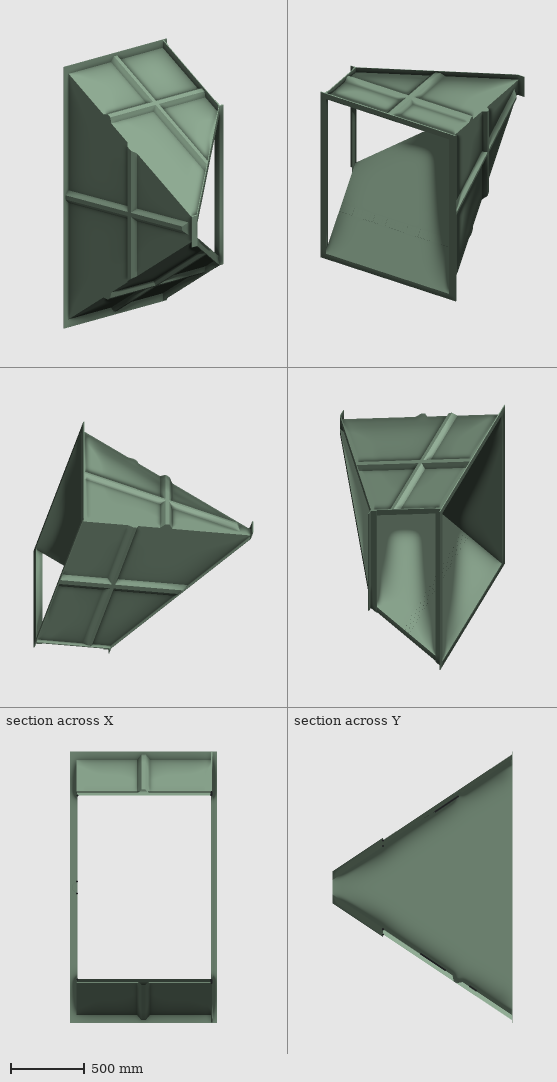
import cadquery as cq
import math

LENGTH = 1235.0
DEPTH = 1005.0
HEIGHT = 1860.0

SHEET = 6.0
FLANGE = 50.0
TIP_HEIGHT = 218.0
BACK_LENGTH = 549.0

FRONT_INNER = FLANGE
FRONT_OUTER = FRONT_INNER - SHEET
BACK_EDGE = 963.0

RIB_HEIGHT = 30.0
RIB_CREST = 30.0
RIB_SHEET = 2.6
RIB_FLANK = math.radians(45)
PANEL_RIB_START = 377.0
FRONT_RIB_END = 1155.0

PAD_COUNT = 30
PAD_GAP = 3.0
PAD_RISE = 1.0
PAD_START = 253.0
PAD_END = 300.0

SLOPE = (HEIGHT - TIP_HEIGHT) / 2 / LENGTH
ANGLE = math.atan(SLOPE)
MOUTH_INNER = HEIGHT / 2 - FLANGE / math.cos(ANGLE)
MOUTH_OUTER = MOUTH_INNER + SHEET / math.cos(ANGLE)


def tapered_block(half_mouth, y_start, y_end):
    """Block between the two slopes, half_mouth high at the mouth on either side of the middle."""
    half_tip = half_mouth - SLOPE * LENGTH
    outline = [(0, -half_mouth), (LENGTH, -half_tip), (LENGTH, half_tip), (0, half_mouth)]
    return cq.Workplane("XZ", origin=(0, y_start, 0)).polyline(outline).close().extrude(y_start - y_end)


def plan_block(points):
    """Upright block of full height over a plan outline."""
    return cq.Workplane("XY").polyline(points).close().extrude(HEIGHT / 2, both=True)


PLAN = plan_block([(0, 0), (LENGTH, 0), (LENGTH, FRONT_INNER), (BACK_LENGTH, BACK_EDGE), (0, BACK_EDGE)])


def slab(x_start, x_end, y_start, y_end):
    """Upright rectangular block of full height."""
    return plan_block([(x_start, y_start), (x_end, y_start), (x_end, y_end), (x_start, y_end)])


def panels():
    """Front panel and the two sloped panels, open at the mouth, the back and the oblique side."""
    shell = tapered_block(MOUTH_OUTER, FRONT_OUTER, BACK_EDGE)
    shell = shell.cut(tapered_block(MOUTH_INNER, FRONT_INNER, DEPTH))
    return shell.intersect(PLAN)


def mouth_flange():
    """Flat rectangular frame around the mouth."""
    opening = cq.Workplane("XY").box(LENGTH, BACK_EDGE - FRONT_INNER, 2 * MOUTH_INNER)
    opening = opening.translate((0, (BACK_EDGE + FRONT_INNER) / 2, 0))
    return slab(0, SHEET, 0, DEPTH).cut(opening)


def oblique_flange():
    """Frame around the oblique opening, bent square to the mouth at both ends."""
    edge = [(LENGTH, 0), (LENGTH, FRONT_INNER), (BACK_LENGTH, BACK_EDGE), (BACK_LENGTH, DEPTH)]
    inset = [(x - SHEET, y) for x, y in reversed(edge)]
    frame = plan_block(edge + inset).intersect(tapered_block(HEIGHT / 2, 0, DEPTH))
    return frame.cut(tapered_block(MOUTH_INNER, FRONT_INNER, BACK_EDGE))


def back_frame():
    """Sloped bars along the back edges and the two posts behind them."""
    bars_end = BACK_EDGE + SHEET
    posts_end = bars_end + SHEET
    bars = tapered_block(HEIGHT / 2, BACK_EDGE, bars_end)
    bars = bars.cut(tapered_block(MOUTH_INNER, BACK_EDGE, bars_end))
    bars = bars.intersect(slab(0, BACK_LENGTH, BACK_EDGE, bars_end))
    posts = slab(0, FLANGE, bars_end, posts_end)
    posts = posts.union(slab(BACK_LENGTH - FLANGE, BACK_LENGTH, bars_end, posts_end))
    return bars.union(posts.intersect(tapered_block(HEIGHT / 2, bars_end, posts_end)))


def channel(origin, run, outward, length, inset):
    """Trapezoid bar from origin along run, standing outward; inset shrinks it to its own hollow."""
    side = cq.Vector(*outward).cross(cq.Vector(*run))
    flank = inset * math.tan(RIB_FLANK / 2)
    top = RIB_HEIGHT - inset
    half_crest = RIB_CREST / 2 - flank
    half_base = half_crest + top / math.tan(RIB_FLANK)
    outline = [(-half_base, 0), (half_base, 0), (half_crest, top), (-half_crest, top)]
    return cq.Workplane(cq.Plane(origin, side, cq.Vector(*run))).polyline(outline).close().extrude(length)


def front_ribs():
    """Crossed ribs on the front panel; the lengthwise one ends in a 45 degree slope."""
    outward = (0, -1, 0)

    def cross(inset):
        crest = FRONT_OUTER - RIB_HEIGHT
        end = FRONT_RIB_END - inset
        lengthwise = channel((0, FRONT_OUTER, 0), (1, 0, 0), outward, LENGTH, inset)
        lengthwise = lengthwise.intersect(plan_block(
            [(0, FRONT_OUTER), (end, FRONT_OUTER), (end - RIB_HEIGHT, crest), (0, crest)]))
        upright = channel((LENGTH / 2, FRONT_OUTER, -HEIGHT / 2), (0, 0, 1), outward, HEIGHT, inset)
        upright = upright.intersect(tapered_block(MOUTH_OUTER - inset, crest, FRONT_OUTER))
        return lengthwise.union(upright)

    return cross(0).cut(cross(RIB_SHEET))


def panel_ribs():
    """Crossed ribs on the upper sloped panel."""
    along = (math.cos(ANGLE), 0, -math.sin(ANGLE))
    outward = (math.sin(ANGLE), 0, math.cos(ANGLE))
    ahead = (-RIB_HEIGHT, DEPTH / 2, MOUTH_OUTER + SLOPE * RIB_HEIGHT)

    def cross(inset):
        lengthwise = channel(ahead, along, outward, LENGTH, inset)
        start = (PANEL_RIB_START, FRONT_OUTER + inset, MOUTH_OUTER - SLOPE * PANEL_RIB_START)
        crosswise = channel(start, (0, 1, 0), outward, BACK_EDGE - FRONT_OUTER - 2 * inset, inset)
        return lengthwise.union(crosswise)

    return cross(0).cut(cross(RIB_SHEET)).intersect(PLAN)


def pad_row():
    """Row of shallow pads across the inside of the lower panel."""
    pitch = (BACK_EDGE - FRONT_INNER) / PAD_COUNT
    rise = PAD_RISE / math.cos(ANGLE)
    floor = [(x, SLOPE * x - MOUTH_INNER) for x in (PAD_START, PAD_END)]
    outline = [(x, z - SHEET / 2) for x, z in floor] + [(x, z + rise) for x, z in reversed(floor)]
    row = cq.Workplane("XY")
    for i in range(PAD_COUNT):
        y_start = FRONT_INNER + i * pitch + PAD_GAP / 2
        pad = cq.Workplane("XZ", origin=(0, y_start, 0)).polyline(outline).close().extrude(PAD_GAP - pitch)
        row = row.add(pad)
    return row.combine()


upper_ribs = panel_ribs()
result = panels().union(mouth_flange()).union(oblique_flange()).union(back_frame())
result = result.union(front_ribs()).union(upper_ribs).union(upper_ribs.mirror("XY"))
result = result.union(pad_row())